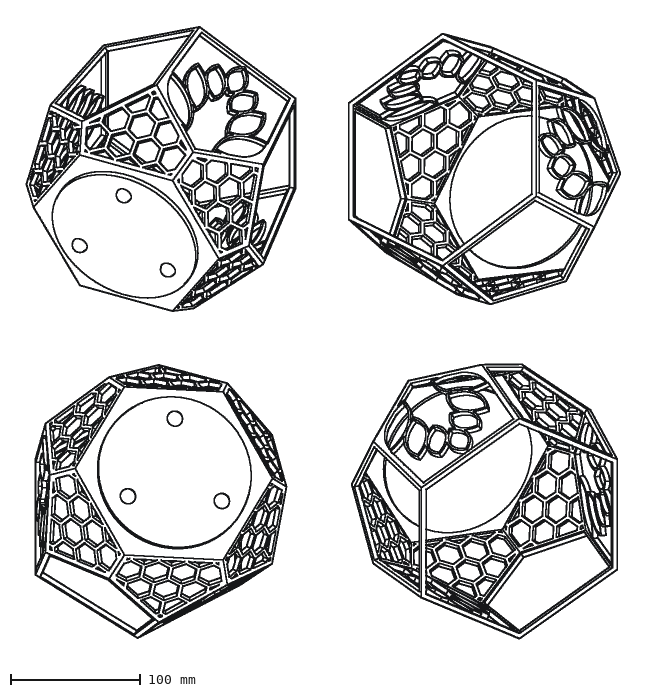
import cadquery as cq
import math

SIDES = 6
STEP = 360 / SIDES
APEX_RADIUS = 102.6
CORNER_RADIUS = 92.8
CORNER_HEIGHT = 22.8
BASE_RADIUS = 77.4
RIM_HEIGHT = 146.4
WALL = 4.0
LOWER_FRAME = 4.0
UPPER_FRAME = 4.0
OVERCUT = 2.0

DISC_RADIUS = 60.0
DISC_DROP = 4.1
DISC_RISE = 7.5
BALL_RADIUS = 6.0
BALL_CIRCLE_RADIUS = 42.5
BALL_COUNT = 3

CELL_FLATS = 18.5
CELL_BAR = 3.0
FIRST_ROW = -1.5
ROW_COUNT = 5
CELLS_EACH_SIDE = 3

LEAF_BAND = 1.8
MIDDLE_LEAF = ((0, 6.2), (0, 42.0), 9.0)
SIDE_LEAVES = [
    ((18.7, 22.4), (7.8, 57.9), 9.6),
    ((32.6, 35.7), (15.2, 81.3), 10.5),
]
CORNER_LEAF = ((47.0, 62.0), (12.7, 106.7), 11.5)

FLAT_RATIO = math.cos(math.radians(STEP / 2))
BASE_INRADIUS = BASE_RADIUS * FLAT_RATIO
LOWER_SLOPE = (CORNER_RADIUS * FLAT_RATIO - BASE_INRADIUS) / CORNER_HEIGHT
APEX_HEIGHT = (APEX_RADIUS - BASE_INRADIUS) / LOWER_SLOPE
UPPER_SLOPE = (APEX_RADIUS * FLAT_RATIO - CORNER_RADIUS) / (APEX_HEIGHT - CORNER_HEIGHT)
RIM_INRADIUS = CORNER_RADIUS + UPPER_SLOPE * (RIM_HEIGHT - CORNER_HEIGHT)
RIM_RADIUS = RIM_INRADIUS / FLAT_RATIO

LOWER_STRETCH = math.hypot(1, LOWER_SLOPE)
UPPER_STRETCH = math.hypot(1, UPPER_SLOPE)
CORNER_UP = CORNER_HEIGHT * LOWER_STRETCH
APEX_UP = APEX_HEIGHT * LOWER_STRETCH
APEX_DOWN = (RIM_HEIGHT - APEX_HEIGHT) * UPPER_STRETCH
CORNER_DOWN = (RIM_HEIGHT - CORNER_HEIGHT) * UPPER_STRETCH


def hexagon(inradius, turn):
    """Corners of a hexagon in X and Z; its first corner sits at the angle turn."""
    radius = inradius / FLAT_RATIO
    angles = [math.radians(turn + i * STEP) for i in range(SIDES)]
    return [(radius * math.cos(a), radius * math.sin(a)) for a in angles]


def taper(inradius_at, turn, bottom, top):
    """Hexagonal frustum along Y whose inradius follows inradius_at(y)."""
    return (
        cq.Workplane("XZ", origin=(0, bottom, 0))
        .polyline(hexagon(inradius_at(bottom), turn)).close()
        .workplane(offset=bottom - top)
        .polyline(hexagon(inradius_at(top), turn)).close()
        .loft(ruled=True)
    )


def gem(inset, bottom, top):
    """Faceted body with every side facet moved inward by inset."""
    lower = taper(
        lambda y: BASE_INRADIUS + LOWER_SLOPE * y - inset * LOWER_STRETCH, 0, bottom, top
    )
    upper = taper(
        lambda y: RIM_INRADIUS + UPPER_SLOPE * (y - RIM_HEIGHT) - inset * UPPER_STRETCH,
        STEP / 2, bottom, top,
    )
    return lower.intersect(upper)


def around(body, angles):
    """Copies of a body turned about the Y axis."""
    return [body.rotate((0, 0, 0), (0, 1, 0), angle) for angle in angles]


def cut_all(body, cutters):
    for cutter in cutters:
        body = body.cut(cutter)
    return body


def prism(sketch):
    """Cutter through the wall, from just inside the panel to just outside it."""
    return sketch.extrude(WALL + 2 * OVERCUT)


def lower_plane():
    """Plane just inside the +Z lower panel, below mid base edge; y runs up the panel."""
    normal = cq.Vector(0, -LOWER_SLOPE, 1).normalized()
    origin = cq.Vector(0, 0, BASE_INRADIUS) - normal * (WALL + OVERCUT)
    return cq.Workplane(cq.Plane(origin, (1, 0, 0), normal))


def upper_plane():
    """Plane just inside the +X upper panel, below mid rim edge; x along the rim, y down the panel."""
    normal = cq.Vector(1, -UPPER_SLOPE, 0).normalized()
    origin = cq.Vector(RIM_INRADIUS, RIM_HEIGHT, 0) - normal * (WALL + OVERCUT)
    return cq.Workplane(cq.Plane(origin, (0, 0, 1), normal))


def lower_opening():
    """Opening of a lower panel inside its frame."""
    outline = [
        (-BASE_RADIUS / 2, 0),
        (BASE_RADIUS / 2, 0),
        (CORNER_RADIUS / 2, CORNER_UP),
        (0, APEX_UP),
        (-CORNER_RADIUS / 2, CORNER_UP),
    ]
    return prism(lower_plane().polyline(outline).close().offset2D(-LOWER_FRAME))


def honeycomb():
    """Hexagonal cells clipped by the opening of a lower panel."""
    pitch = CELL_FLATS + CELL_BAR
    row_pitch = pitch * FLAT_RATIO
    centres = []
    for row in range(ROW_COUNT):
        shift = pitch / 2 * (row % 2)
        for column in range(-CELLS_EACH_SIDE, CELLS_EACH_SIDE + 1):
            centres.append((column * pitch + shift, FIRST_ROW + row * row_pitch))
    corners = hexagon(CELL_FLATS / 2, STEP / 2)
    cell = prism(lower_plane().polyline(corners).close()).val()
    plane = lower_plane().plane
    cells = [cell.translate(plane.xDir * along + plane.yDir * up) for along, up in centres]
    return lower_opening().intersect(cq.Workplane(cq.Compound.makeCompound(cells)))


def upper_opening():
    """Opening of an upper panel inside its frame."""
    outline = [
        (-RIM_RADIUS / 2, 0),
        (RIM_RADIUS / 2, 0),
        (APEX_RADIUS / 2, APEX_DOWN),
        (0, CORNER_DOWN),
        (-APEX_RADIUS / 2, APEX_DOWN),
    ]
    return prism(upper_plane().polyline(outline).close().offset2D(-UPPER_FRAME))


def lens(leaf, inset, side):
    """Leaf with two equal arcs, each moved inward by inset; side -1 mirrors it."""
    (u1, v1), (u2, v2), half_width = leaf
    u1, u2 = side * u1, side * u2
    length = math.hypot(u2 - u1, v2 - v1)
    ahead_u, ahead_v = (u2 - u1) / length, (v2 - v1) / length
    mid_u, mid_v = (u1 + u2) / 2, (v1 + v2) / 2
    arc_radius = (length ** 2 / 4 + half_width ** 2) / (2 * half_width)
    centre_offset = arc_radius - half_width
    half = math.sqrt((arc_radius - inset) ** 2 - centre_offset ** 2)
    bulge = half_width - inset

    def place(forward, sideways):
        along = mid_u + forward * ahead_u - sideways * ahead_v
        down = mid_v + forward * ahead_v + sideways * ahead_u
        return along, down

    outline = (
        upper_plane()
        .moveTo(*place(-half, 0))
        .threePointArc(place(0, bulge), place(half, 0))
        .threePointArc(place(0, -bulge), place(-half, 0))
        .close()
    )
    return prism(outline)


def corner_fill(side):
    """Web between a corner leaf and the panel corner beside it."""
    tip, end, _ = CORNER_LEAF
    outline = [
        (side * tip[0], tip[1]),
        (side * APEX_RADIUS / 2, APEX_DOWN),
        (side * end[0], end[1]),
    ]
    return prism(upper_plane().polyline(outline).close())


def leaf_opening():
    """Upper opening with the leaf bands left standing."""
    cutter = upper_opening()
    placed = [(MIDDLE_LEAF, 1)]
    placed += [(leaf, side) for leaf in SIDE_LEAVES + [CORNER_LEAF] for side in (1, -1)]
    bands = [lens(leaf, 0, side).cut(lens(leaf, LEAF_BAND, side)) for leaf, side in placed]
    webs = [corner_fill(side).cut(lens(CORNER_LEAF, LEAF_BAND, side)) for side in (1, -1)]
    return cut_all(cutter, bands + webs)


def feet():
    """Round disc through the base with ball feet half sunk in its underside."""
    top = cq.Workplane("XZ", origin=(0, DISC_RISE, 0))
    disc = top.circle(DISC_RADIUS).extrude(DISC_RISE + DISC_DROP)
    ball = cq.Workplane().sphere(BALL_RADIUS).translate((0, -DISC_DROP, BALL_CIRCLE_RADIUS))
    for copy in around(ball, [i * 360 / BALL_COUNT for i in range(BALL_COUNT)]):
        disc = disc.union(copy)
    return disc


every_panel = [i * STEP for i in range(SIDES)]
open_panels = every_panel[0::2]
leaf_panels = every_panel[1::2]

shell = gem(0, 0, RIM_HEIGHT).cut(gem(WALL, WALL, RIM_HEIGHT + OVERCUT))
shell = cut_all(shell, around(honeycomb(), every_panel))
shell = cut_all(shell, around(upper_opening(), open_panels))
shell = cut_all(shell, around(leaf_opening(), leaf_panels))

result = shell.union(feet())